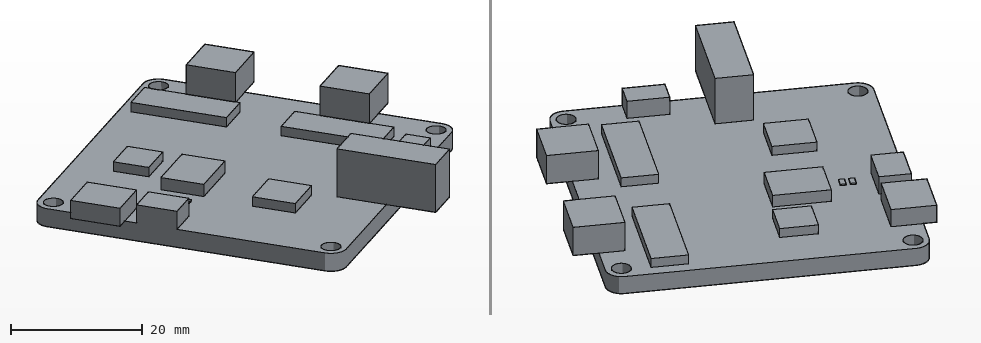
import cadquery as cq

board_side = 50.0
board_thickness = 3.0
corner_radius = 2.5
hole_diameter = 3.0

chip_height = 1.55
processor_height = 2.05
low_connector_height = 3.0
jack_height = 5.0
port_height = 8.0
chip_resistor_height = 0.25

jack_side = 8.0
jack_overhang = 4.0
jack_lefts = (7.55, 29.25)

header_front = 37.25
header_depth = 5.8
left_header_left = 1.9
left_header_length = 15.5
right_header_left = 26.3
right_header_length = 16.05

port_length = 16.0
port_width = 6.0
port_front = 19.6
port_overhang = 8.0

button_depth = 3.95
button_width = 6.6
button_front = 31.8

front_connector_back = 5.05
front_overhang = 2.05
left_connector_left = 7.0
left_connector_width = 8.0
flush_connector_left = 16.95
flush_connector_width = 6.55

small_chip_left = 7.0
small_chip_front = 16.25
small_chip_width = 5.75
small_chip_depth = 6.0
processor_left = 16.1
processor_front = 12.5
processor_width = 6.95
processor_depth = 9.05
square_chip_left = 31.2
square_chip_front = 11.9
square_chip_side = 6.95

chip_resistor_left = 20.4
chip_resistor_width = 1.5
chip_resistor_depth = 0.9
chip_resistor_fronts = (7.85, 9.4)


def make_board():
    """Plate with its lower left corner at the origin and its underside at Z = 0."""
    plate = cq.Workplane("XY").box(board_side, board_side, board_thickness, centered=False)
    plate = plate.edges("|Z").fillet(corner_radius)
    near = corner_radius
    far = board_side - corner_radius
    centers = [(x, y) for x in (near, far) for y in (near, far)]
    holes = cq.Workplane("XY").pushPoints(centers).circle(hole_diameter / 2).extrude(board_thickness)
    return plate.cut(holes)


def make_block(left, front, width, depth, height):
    """Rectangular component standing on the top face of the board."""
    block = cq.Workplane("XY").box(width, depth, height, centered=False)
    return block.translate((left, front, board_thickness))


result = make_board()

jack_front = board_side + jack_overhang - jack_side
for jack_left in jack_lefts:
    result = result.union(make_block(jack_left, jack_front, jack_side, jack_side, jack_height))

for header_left, header_length in (
    (left_header_left, left_header_length),
    (right_header_left, right_header_length),
):
    result = result.union(make_block(header_left, header_front, header_length, header_depth, chip_height))

port_left = board_side + port_overhang - port_length
result = result.union(make_block(port_left, port_front, port_length, port_width, port_height))
button_left = board_side - button_depth
result = result.union(
    make_block(button_left, button_front, button_depth, button_width, low_connector_height)
)

for connector_left, connector_width, overhang in (
    (left_connector_left, left_connector_width, front_overhang),
    (flush_connector_left, flush_connector_width, 0),
):
    connector_depth = front_connector_back + overhang
    result = result.union(
        make_block(connector_left, -overhang, connector_width, connector_depth, low_connector_height)
    )

result = result.union(
    make_block(small_chip_left, small_chip_front, small_chip_width, small_chip_depth, chip_height)
)
result = result.union(
    make_block(processor_left, processor_front, processor_width, processor_depth, processor_height)
)
result = result.union(
    make_block(square_chip_left, square_chip_front, square_chip_side, square_chip_side, chip_height)
)

for resistor_front in chip_resistor_fronts:
    result = result.union(
        make_block(
            chip_resistor_left,
            resistor_front,
            chip_resistor_width,
            chip_resistor_depth,
            chip_resistor_height,
        )
    )